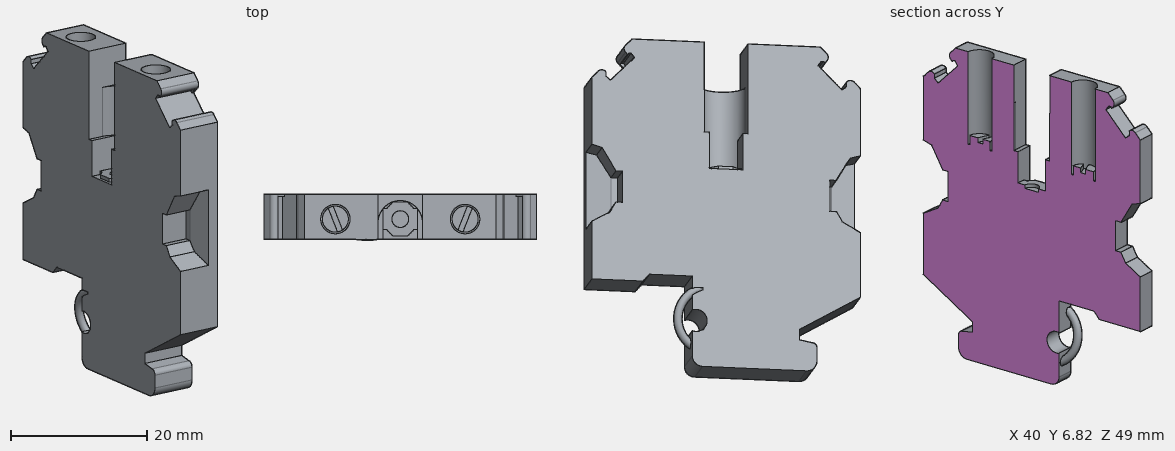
import cadquery as cq

HEIGHT = 49.0
WIDTH = 40.0
THICKNESS = 6.65
HALF_WIDTH = WIDTH / 2

LEFT_BOTTOM_Z = 12.5
LEFT_STEP_Z = 13.55
LEFT_STEP_START_X = -12.4
LEFT_STEP_END_X = -11.4
RIGHT_BOTTOM_Z = 11.45
FOOT_LEFT_X = -5.05
FOOT_RIGHT_X = 13.5
FOOT_NECK_X = 10.95
FOOT_NECK_TOP_Z = 6.2
FOOT_NECK_BOTTOM_Z = 4.65
FOOT_TOE_TOP_Z = 4.3
FOOT_LEFT_RADIUS = 1.5
FOOT_RIGHT_RADIUS = 1.55
FOOT_TOE_RADIUS = 0.8

SHOULDER_Z = 42.95
TOP_EDGE_X = -14.0
NOTCH_UPPER = (-13.95, 45.9)
NOTCH_LOWER = (-16.95, 42.9)
LOWER_TIP = [(-19.05, 43.9), (-18.5, 44.15), (-17.95, 43.9)]
UPPER_TIP = [(-15.0, 46.95), (-15.2, 47.5), (-15.0, 48.0)]
UPPER_UNDERCUT_END = [(-14.15, 46.85), (-14.45, 46.85), (-14.7, 46.65)]
LOWER_UNDERCUT_END = [(-17.9, 43.2), (-17.9, 43.85)]
UNDERCUT_REACH = 0.3
UNDERCUT_DEPTH = 6.3

SLOT_WIDTH = 6.5
SLOT_TOP_FLOOR_Z = 42.95
SLOT_STEP_Z = 35.45
SLOT_BOTTOM_Z = 29.95
SLOT_NARROW_WIDTH = 5.0
BORE_RADIUS = SLOT_WIDTH / 2
BORE_CENTRE_Y = 2.45
AXIS_Y = 3.0
NUT_HEIGHT = 0.55
NUT_WIDTH = 3.9
NUT_LENGTH = 4.95
NUT_CHAMFER = 0.9
NUT_BAR_LENGTH = 3.05
NUT_HOLE_DIAMETER = 2.45

SCREW_X = 9.5
SCREW_HOLE_DIAMETER = 4.3
SCREW_HOLE_DEPTH = 14.7
SCREW_HEAD_DIAMETER = 3.8
SCREW_HEAD_HEIGHT = 1.45
DRIVER_SLOT_WIDTH = 0.8
DRIVER_SLOT_DEPTH = 0.75
DRIVER_SLOT_ANGLE = 111.4

POCKET_TOP_Z = 32.85
POCKET_BOTTOM_Z = 21.2
POCKET_UPPER_BEND = (1.5, 32.4)
POCKET_LOWER_BEND = (2.7, 22.75)
POCKET_END_TOP_Z = 28.95
POCKET_END_BOTTOM_Z = 24.25
POCKET_TAPER_DEPTH = 3.6
POCKET_DEPTH = 4.55
POCKET_MOUTH_Y = 5.0
POCKET_END_Y = 4.2

GROOVE_X = -4.5
GROOVE_Z = 6.9
GROOVE_DIAMETER = 3.35
WIRE_CENTRE = (-2.5, 1.5, 7.55)
WIRE_BEND_RADIUS = 4.55
WIRE_RADIUS = 0.65
WIRE_TILT = 10.9
WIRE_YAW = 7.0
WIRE_END_X = -3.5
WIRE_TOP_Z = 11.85


def front_sketch():
    """Workplane on the front face: local x is X, local y is Z, extrude(-d) goes to +Y."""
    return cq.Workplane("XZ")


def both_sides(left):
    """The left-hand shape together with its mirror image on the right."""
    return left.union(left.mirror("YZ"))


def make_body():
    outline = (
        front_sketch()
        .moveTo(-HALF_WIDTH, LEFT_BOTTOM_Z)
        .lineTo(LEFT_STEP_START_X, LEFT_BOTTOM_Z)
        .lineTo(LEFT_STEP_END_X, LEFT_STEP_Z)
        .lineTo(FOOT_LEFT_X, LEFT_STEP_Z)
        .lineTo(FOOT_LEFT_X, FOOT_LEFT_RADIUS)
        .radiusArc((FOOT_LEFT_X + FOOT_LEFT_RADIUS, 0), -FOOT_LEFT_RADIUS)
        .lineTo(FOOT_RIGHT_X - FOOT_RIGHT_RADIUS, 0)
        .radiusArc((FOOT_RIGHT_X, FOOT_RIGHT_RADIUS), -FOOT_RIGHT_RADIUS)
        .lineTo(FOOT_RIGHT_X, FOOT_TOE_TOP_Z - FOOT_TOE_RADIUS)
        .radiusArc((FOOT_RIGHT_X - FOOT_TOE_RADIUS, FOOT_TOE_TOP_Z), -FOOT_TOE_RADIUS)
        .lineTo(FOOT_NECK_X, FOOT_NECK_BOTTOM_Z)
        .lineTo(FOOT_NECK_X, FOOT_NECK_TOP_Z)
        .lineTo(HALF_WIDTH, RIGHT_BOTTOM_Z)
        .lineTo(HALF_WIDTH, HEIGHT)
        .lineTo(-HALF_WIDTH, HEIGHT)
        .close()
    )
    return outline.extrude(-THICKNESS)


def corner_notches():
    """Waste outside the upper corners, plus the blind undercuts at both ends of each notch."""
    corner = (
        front_sketch()
        .moveTo(-HALF_WIDTH, HEIGHT)
        .lineTo(-HALF_WIDTH, SHOULDER_Z)
        .lineTo(*LOWER_TIP[0])
        .threePointArc(*LOWER_TIP[1:])
        .lineTo(*NOTCH_LOWER)
        .lineTo(*NOTCH_UPPER)
        .lineTo(*UPPER_TIP[0])
        .threePointArc(*UPPER_TIP[1:])
        .lineTo(TOP_EDGE_X, HEIGHT)
        .close()
        .extrude(-THICKNESS)
    )
    upper_end = (NOTCH_UPPER[0] + UNDERCUT_REACH, NOTCH_UPPER[1] + UNDERCUT_REACH)
    lower_end = (NOTCH_LOWER[0] - UNDERCUT_REACH, NOTCH_LOWER[1] - UNDERCUT_REACH)
    upper_undercut = (
        front_sketch()
        .polyline([NOTCH_UPPER, upper_end, *UPPER_UNDERCUT_END])
        .close()
        .extrude(-UNDERCUT_DEPTH)
    )
    lower_undercut = (
        front_sketch()
        .polyline([NOTCH_LOWER, lower_end, *LOWER_UNDERCUT_END])
        .close()
        .extrude(-UNDERCUT_DEPTH)
    )
    return both_sides(corner.union(upper_undercut).union(lower_undercut))


def slot_block(width, bottom, top, depth):
    """Box centred on X that starts at the front face."""
    return (
        cq.Workplane("XY", origin=(0, depth / 2, bottom))
        .rect(width, depth)
        .extrude(top - bottom)
    )


def centre_slot():
    bore = (
        cq.Workplane("XY", origin=(0, BORE_CENTRE_Y, SLOT_BOTTOM_Z))
        .circle(BORE_RADIUS)
        .extrude(SLOT_TOP_FLOOR_Z - SLOT_BOTTOM_Z)
    )
    front_half = slot_block(SLOT_WIDTH, SLOT_BOTTOM_Z, SLOT_TOP_FLOOR_Z, BORE_CENTRE_Y)
    half_round = bore.union(front_half)
    wide = slot_block(SLOT_WIDTH, SLOT_STEP_Z, SLOT_TOP_FLOOR_Z, THICKNESS)
    narrow = slot_block(SLOT_NARROW_WIDTH, SLOT_BOTTOM_Z, SLOT_STEP_Z, THICKNESS)
    top_opening = slot_block(SLOT_WIDTH, SLOT_TOP_FLOOR_Z, HEIGHT, THICKNESS)
    return half_round.intersect(wide.union(narrow)).union(top_opening)


def make_nut():
    """Chamfered nut with a cross bar between the slot walls."""
    base = cq.Workplane("XY", origin=(0, AXIS_Y, SLOT_BOTTOM_Z))
    nut = base.rect(NUT_WIDTH, NUT_LENGTH).extrude(NUT_HEIGHT).edges("|Z").chamfer(NUT_CHAMFER)
    bar = base.rect(SLOT_NARROW_WIDTH, NUT_BAR_LENGTH).extrude(NUT_HEIGHT)
    hole = base.circle(NUT_HOLE_DIAMETER / 2).extrude(NUT_HEIGHT)
    return nut.union(bar).cut(hole)


def screw_holes():
    """Screw holes with the slotted screw heads left standing on their floors."""
    floor = cq.Workplane("XY", origin=(-SCREW_X, AXIS_Y, HEIGHT - SCREW_HOLE_DEPTH))
    hole = floor.circle(SCREW_HOLE_DIAMETER / 2).extrude(SCREW_HOLE_DEPTH)
    head = floor.circle(SCREW_HEAD_DIAMETER / 2).extrude(SCREW_HEAD_HEIGHT)
    driver_slot = (
        floor.workplane(offset=SCREW_HEAD_HEIGHT - DRIVER_SLOT_DEPTH)
        .transformed(rotate=(0, 0, DRIVER_SLOT_ANGLE))
        .rect(SCREW_HOLE_DIAMETER, DRIVER_SLOT_WIDTH)
        .extrude(DRIVER_SLOT_DEPTH)
    )
    return both_sides(hole.cut(head.cut(driver_slot)))


def side_pockets():
    """Side pockets, open to the front, whose back wall slopes forward with depth."""
    side = cq.Workplane("XZ", origin=(-HALF_WIDTH, 0, 0))
    profile = (
        side.polyline([
            (0, POCKET_TOP_Z),
            POCKET_UPPER_BEND,
            (POCKET_TAPER_DEPTH, POCKET_END_TOP_Z),
            (POCKET_DEPTH, POCKET_END_TOP_Z),
            (POCKET_DEPTH, POCKET_END_BOTTOM_Z),
            (POCKET_TAPER_DEPTH, POCKET_END_BOTTOM_Z),
            POCKET_LOWER_BEND,
            (0, POCKET_BOTTOM_Z),
        ])
        .close()
        .extrude(-THICKNESS)
    )
    wedge = (
        cq.Workplane("XY", origin=(-HALF_WIDTH, 0, 0))
        .polyline([
            (0, 0),
            (POCKET_DEPTH, 0),
            (POCKET_DEPTH, POCKET_END_Y),
            (POCKET_TAPER_DEPTH, POCKET_END_Y),
            (0, POCKET_MOUTH_Y),
        ])
        .close()
        .extrude(HEIGHT)
    )
    return both_sides(profile.intersect(wedge))


def foot_groove():
    return (
        front_sketch()
        .center(GROOVE_X, GROOVE_Z)
        .circle(GROOVE_DIAMETER / 2)
        .extrude(-THICKNESS)
    )


def make_wire():
    """Left part of a tilted wire ring that runs into the foot, trimmed flat at its upper end."""
    ring = (
        cq.Workplane("XZ")
        .center(WIRE_BEND_RADIUS, 0)
        .circle(WIRE_RADIUS)
        .revolve(360, (-WIRE_BEND_RADIUS, 0), (-WIRE_BEND_RADIUS, 1))
        .rotate((0, 0, 0), (1, 0, 0), 90 + WIRE_TILT)
        .rotate((0, 0, 0), (0, 0, 1), WIRE_YAW)
        .translate(WIRE_CENTRE)
    )
    kept_length = WIRE_END_X - FOOT_LEFT_X + WIRE_BEND_RADIUS
    kept = (
        cq.Workplane("XZ", origin=(WIRE_END_X, -WIRE_RADIUS, 0))
        .rect(-kept_length, WIRE_TOP_Z, centered=False)
        .extrude(-THICKNESS)
    )
    return ring.intersect(kept)


result = (
    make_body()
    .cut(corner_notches())
    .cut(centre_slot())
    .union(make_nut())
    .cut(screw_holes())
    .cut(side_pockets())
    .cut(foot_groove())
    .union(make_wire())
)